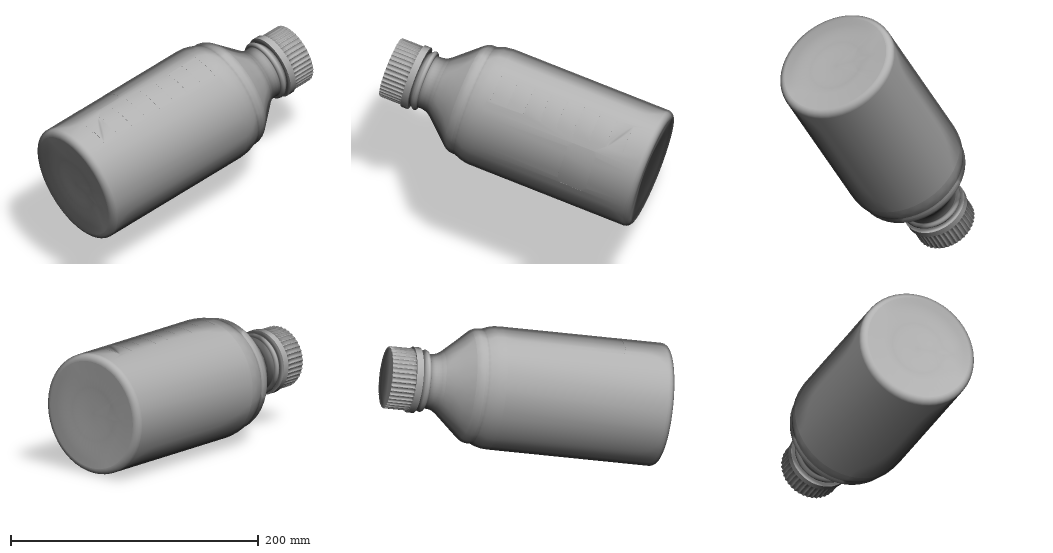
import cadquery as cq
import math

overall_length = 229.0
body_diameter = 100.0
body_radius = body_diameter / 2
foot_round = 5.3
base_dish_depth = 2.5
body_top = 139.7

waist_radius = 46.7
waist_bottom = 154.1
waist_top = 156.9

cone_angle = math.radians(41.2)
shoulder_round = 10.3
neck_radius = 22.2
neck_bottom_round = 14.5

bead_diameter = 50.5
bead_radius = bead_diameter / 2
bead_round = 2.0
bead_bottom = 196.7
bead_root_round = 0.5
bead_slope = math.radians(40)

ring_diameter = 53.4
ring_radius = ring_diameter / 2
ring_bottom = 203.8
ring_top = 209.3
cap_diameter = 50.5
cap_radius = cap_diameter / 2
cap_edge_round = 1.0
flute_count = 40
flute_radius = 1.8
flute_depth = 1.1

mark_depth = 0.11
graduation_count = 9
graduation_length = 24.7
graduation_width = 1.0
graduation_pitch = 14.5
first_graduation = 20.8
label_width = 36.9
label_height = 24.7
label_corner = 4.1
label_center = 52.2
label_angle = 43.8


def cylinder(radius, bottom, top):
    """Solid cylinder on the Y axis between two heights."""
    return (
        cq.Workplane("XZ", origin=(0, bottom, 0))
        .circle(radius)
        .extrude(bottom - top)
    )


def tangent_arc(profile, center, radius, start_angle, end_angle):
    """Line to the start of an arc, then the arc itself; angles are measured from +X."""
    def on_arc(angle):
        return (center[0] + radius * math.cos(angle), center[1] + radius * math.sin(angle))

    middle_angle = (start_angle + end_angle) / 2
    return profile.lineTo(*on_arc(start_angle)).threePointArc(on_arc(middle_angle), on_arc(end_angle))


def make_bottle_blank():
    foot_radius = body_radius - foot_round

    step = body_radius - waist_radius
    rise = waist_bottom - body_top
    lower_shoulder_round = (step**2 + rise**2) / (2 * step)
    lower_shoulder_center = (body_radius - lower_shoulder_round, body_top)
    lower_shoulder_angle = math.asin(rise / lower_shoulder_round)

    shoulder_center = (waist_radius - shoulder_round, waist_top)
    neck_center_radius = neck_radius + neck_bottom_round
    center_run = shoulder_center[0] - neck_center_radius
    both_rounds = shoulder_round + neck_bottom_round
    center_rise = (both_rounds + center_run * math.cos(cone_angle)) / math.sin(cone_angle)
    neck_center = (neck_center_radius, waist_top + center_rise)

    bead_center = (bead_radius - bead_round, bead_bottom + bead_round)
    bead_root_center = (neck_radius + bead_root_round, bead_bottom - bead_root_round)
    bead_cone_start = bead_center[0] + bead_round * math.cos(bead_slope)
    bead_cone_bottom = bead_center[1] + bead_round * math.sin(bead_slope)
    mouth_radius = bead_cone_start - (ring_bottom - bead_cone_bottom) * math.tan(bead_slope)

    dish_radius = (foot_radius**2 + base_dish_depth**2) / (2 * base_dish_depth)
    dish_half_angle = math.asin(foot_radius / dish_radius) / 2
    dish_middle = (
        dish_radius * math.sin(dish_half_angle),
        base_dish_depth - dish_radius * (1 - math.cos(dish_half_angle)),
    )

    profile = cq.Workplane("XY").moveTo(0, base_dish_depth)
    profile = profile.threePointArc(dish_middle, (foot_radius, 0))
    profile = profile.radiusArc((body_radius, foot_round), -foot_round)
    profile = tangent_arc(profile, lower_shoulder_center, lower_shoulder_round, 0, lower_shoulder_angle)
    profile = tangent_arc(profile, shoulder_center, shoulder_round, 0, cone_angle)
    profile = tangent_arc(profile, neck_center, neck_bottom_round, math.pi + cone_angle, math.pi)
    profile = tangent_arc(profile, bead_root_center, bead_root_round, math.pi, math.pi / 2)
    profile = tangent_arc(profile, bead_center, bead_round, -math.pi / 2, bead_slope)
    profile = profile.lineTo(mouth_radius, ring_bottom).lineTo(0, ring_bottom).close()
    return profile.revolve(360, (0, 0, 0), (0, 1, 0))


def make_wall_marks():
    """Graduation bars and the label panel, trimmed to a thin skin of the bottle wall."""
    wall = cylinder(body_radius, 0, body_top).cut(cylinder(body_radius - mark_depth, 0, body_top))
    marks = []
    for index in range(graduation_count):
        bar = (
            cq.Workplane("XY", origin=(0, first_graduation + index * graduation_pitch, 0))
            .rect(graduation_length, graduation_width)
            .extrude(body_radius)
        )
        marks.append(bar.intersect(wall))
    label = (
        cq.Workplane("XY", origin=(0, label_center, 0))
        .rect(label_width, label_height)
        .extrude(body_radius)
        .edges("|Z")
        .fillet(label_corner)
        .rotate((0, 0, 0), (0, 1, 0), -label_angle)
    )
    marks.append(label.intersect(wall))
    return marks


def make_bottle():
    bottle = make_bottle_blank()
    for mark in make_wall_marks():
        bottle = bottle.cut(mark)
    return bottle


def make_pouring_ring():
    return cylinder(ring_radius, ring_bottom, ring_top)


def make_cap():
    cap = cylinder(cap_radius, ring_top, overall_length).faces(">Y").edges().fillet(cap_edge_round)
    flutes = (
        cq.Workplane("XZ", origin=(0, ring_top, 0))
        .polarArray(cap_radius - flute_depth + flute_radius, 0, 360, flute_count)
        .circle(flute_radius)
        .extrude(ring_top - overall_length)
    )
    return cap.cut(flutes)


bottle = make_bottle()
pouring_ring = make_pouring_ring()
cap = make_cap()

result = cq.Compound.makeCompound([bottle.val(), pouring_ring.val(), cap.val()])